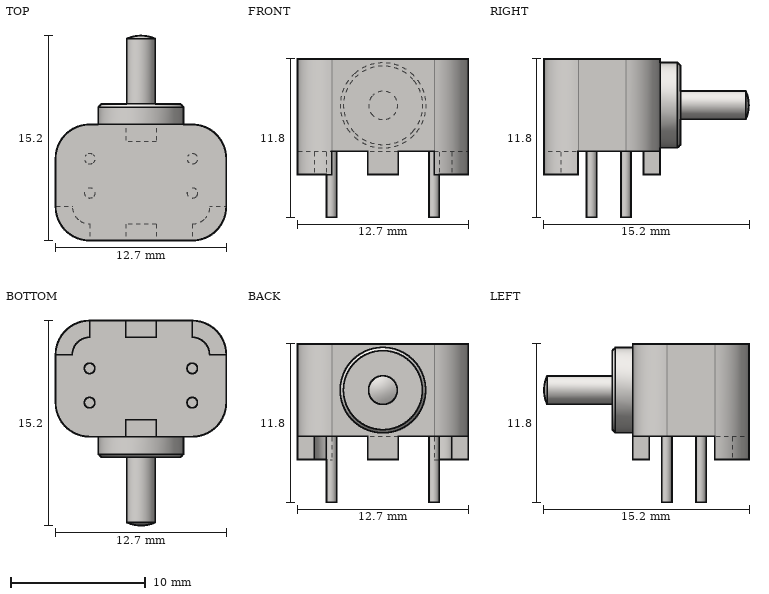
import cadquery as cq

width = 12.7
depth = 8.64
corner_radius = 2.55
housing_height = 6.87

foot_drop = 1.72
tab_width = 2.29
wall_thickness = 1.25

pin_diameter = 0.78
pin_drop = 4.89
pin_spacing_x = 7.62
pin_spacing_y = 2.55
pin_center_y = 4.83

axis_height = housing_height / 2
collar_diameter = 6.35
collar_length = 1.52
collar_chamfer = 0.25
plunger_diameter = 2.13
overall_length = 15.24
dome_height = 0.25


def rounded_block(bottom, height):
    """Housing outline extruded upward from the given level."""
    return (
        cq.Workplane("XY", origin=(0, depth / 2, bottom))
        .rect(width, depth)
        .extrude(height)
        .edges("|Z")
        .fillet(corner_radius)
    )


def front_feet():
    """Two quarter-ring feet following the front corners."""
    corner_squares = (
        cq.Workplane("XY", origin=(0, corner_radius / 2, -foot_drop))
        .rarray(width - corner_radius, 0.15, 2, 1)
        .rect(corner_radius, corner_radius)
        .extrude(foot_drop)
    )
    inner_rounds = (
        cq.Workplane("XY", origin=(0, corner_radius, -foot_drop))
        .rarray(width - 2 * corner_radius, 0.15, 2, 1)
        .circle(corner_radius - wall_thickness)
        .extrude(foot_drop)
    )
    return rounded_block(-foot_drop, foot_drop).intersect(corner_squares).cut(inner_rounds)


def tab(y_min, y_max):
    """Central tab hanging below the housing."""
    return (
        cq.Workplane("XY", origin=(0, (y_min + y_max) / 2, -foot_drop))
        .rect(tab_width, y_max - y_min)
        .extrude(foot_drop)
    )


def pins():
    """Four round terminal pins."""
    return (
        cq.Workplane("XY", origin=(0, pin_center_y, -pin_drop))
        .rarray(pin_spacing_x, pin_spacing_y, 2, 2)
        .circle(pin_diameter / 2)
        .extrude(pin_drop)
    )


def collar():
    """Chamfered disc on the back face."""
    return (
        cq.Workplane("XZ", origin=(0, depth, axis_height))
        .circle(collar_diameter / 2)
        .extrude(-collar_length)
        .faces(">Y")
        .chamfer(collar_chamfer)
    )


def plunger():
    """Round rod with a shallow domed tip, revolved about its own axis."""
    radius = plunger_diameter / 2
    tip_y = overall_length
    dome_start = tip_y - dome_height
    sphere_radius = (radius**2 + dome_height**2) / (2 * dome_height)
    mid_x = radius / 2
    mid_y = tip_y - sphere_radius + (sphere_radius**2 - mid_x**2) ** 0.5
    return (
        cq.Workplane("XY", origin=(0, 0, axis_height))
        .moveTo(0, depth)
        .lineTo(radius, depth)
        .lineTo(radius, dome_start)
        .threePointArc((mid_x, mid_y), (0, tip_y))
        .close()
        .revolve(360, (0, 0, 0), (0, 1, 0))
    )


result = (
    rounded_block(0, housing_height)
    .union(front_feet())
    .union(tab(0, wall_thickness))
    .union(tab(depth - wall_thickness, depth))
    .union(pins())
    .union(collar())
    .union(plunger())
)